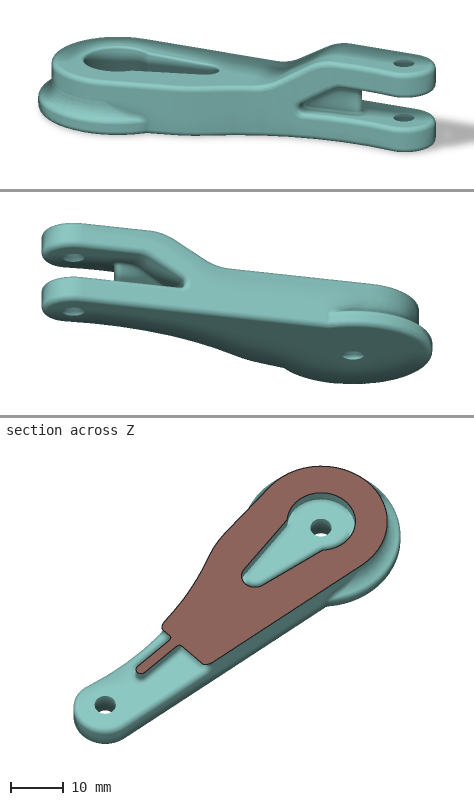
import math

import cadquery as cq

TIP_X = 57.0
HUB_RADIUS = 12.5
TIP_RADIUS = 6.0
HUB_HEIGHT = 10.0
FORK_HEIGHT = 16.0
EDGE_RADIUS = 1.0
PIN_HOLE_RADIUS = 2.0

FLANGE_RADIUS = 15.0
FLANGE_COVE_RADIUS = 3.0
FLANGE_COVE_TOP = 6.0
FLANGE_JOINT_RADIUS = 1.0

WAIST_RADIUS = 55.0
WAIST_CENTER = (43.6, -59.25)
SHOULDER_RADIUS = 20.0
TIP_BLEND_RADIUS = 5.0

RAMP_ANGLE = math.radians(30)
RAMP_TOP_X = 41.6
RAMP_BEND_RADIUS = 10.0

SLOT_BOTTOM = 5.0
SLOT_TOP = 11.0
SLOT_BEND_X = 45.0
SLOT_BEND_RADIUS = 5.0
SLOT_ROOT_RADIUS = 1.0
WEB_HALF_THICKNESS = 1.0
WEB_END_X = 48.6
WEB_FOOT_RADIUS = 0.5

POCKET_FLOOR = 5.0
POCKET_RADIUS = 6.4
POCKET_END_X = 17.5
POCKET_END_RADIUS = 2.5
POCKET_TAPER_ROOT_RADIUS = 5.4
POCKET_NECK_RADIUS = 1.0
POCKET_RIM_RADIUS = 0.5

MARGIN = 10.0
TOLERANCE = 0.05


def inside(low, high):
    """Selector for edges that lie wholly in a box."""
    return cq.selectors.BoxSelector(low, high, boundingbox=True)


def polar(center, radius, angle):
    """Point on a circle."""
    return (center[0] + radius * math.cos(angle), center[1] + radius * math.sin(angle))


def toward(start, end, distance):
    """Point at a distance from start in the direction of end."""
    return polar(start, distance, math.atan2(end[1] - start[1], end[0] - start[0]))


def arc_middle(center, radius, start, end):
    """Middle point of the shorter arc from start to end."""
    chord_middle = ((start[0] + end[0]) / 2, (start[1] + end[1]) / 2)
    return toward(center, chord_middle, radius)


def taper_angle(big_radius, small_radius, distance):
    """Direction, seen from either centre, of the upper tangent point of two circles."""
    return math.acos((big_radius - small_radius) / distance)


def arm_plan():
    """Outline of the arm: hub round, straight +Y side, tip round and waisted -Y side."""
    hub = (0.0, 0.0)
    tip = (TIP_X, 0.0)
    normal = taper_angle(HUB_RADIUS, TIP_RADIUS, TIP_X)
    hub_upper = polar(hub, HUB_RADIUS, normal)
    hub_lower = polar(hub, HUB_RADIUS, -normal)
    tip_upper = polar(tip, TIP_RADIUS, normal)

    blend_offset = TIP_RADIUS - TIP_BLEND_RADIUS
    blend_reach = WAIST_RADIUS + TIP_BLEND_RADIUS
    tip_distance = math.dist(WAIST_CENTER, tip)
    tip_direction = math.atan2(tip[1] - WAIST_CENTER[1], tip[0] - WAIST_CENTER[0])
    swing = math.acos(
        (tip_distance**2 + blend_reach**2 - blend_offset**2) / (2 * tip_distance * blend_reach)
    )
    blend_center = polar(WAIST_CENTER, blend_reach, tip_direction - swing)
    blend_start = toward(tip, blend_center, TIP_RADIUS)
    waist_end = toward(WAIST_CENTER, blend_center, WAIST_RADIUS)

    side = (math.cos(-normal), math.sin(-normal))
    waist_offset = WAIST_CENTER[0] * side[0] + WAIST_CENTER[1] * side[1]
    across = waist_offset - (HUB_RADIUS - SHOULDER_RADIUS)
    along = math.sqrt((WAIST_RADIUS + SHOULDER_RADIUS) ** 2 - across**2)
    shoulder_center = (
        WAIST_CENTER[0] - across * side[0] + along * side[1],
        WAIST_CENTER[1] - across * side[1] - along * side[0],
    )
    shoulder_start = polar(shoulder_center, SHOULDER_RADIUS, -normal)
    waist_start = toward(WAIST_CENTER, shoulder_center, WAIST_RADIUS)

    return (
        cq.Workplane("XY")
        .moveTo(*hub_lower)
        .threePointArc((-HUB_RADIUS, 0), hub_upper)
        .lineTo(*tip_upper)
        .threePointArc((TIP_X + TIP_RADIUS, 0), blend_start)
        .threePointArc(arc_middle(blend_center, TIP_BLEND_RADIUS, blend_start, waist_end), waist_end)
        .threePointArc(arc_middle(WAIST_CENTER, WAIST_RADIUS, waist_end, waist_start), waist_start)
        .threePointArc(
            arc_middle(shoulder_center, SHOULDER_RADIUS, waist_start, shoulder_start), shoulder_start
        )
        .close()
    )


def side_profile():
    """Side shape of the arm, wider than the plan: hub level, ramp and fork level."""
    bend = RAMP_BEND_RADIUS * math.tan(RAMP_ANGLE / 2)
    rise = FORK_HEIGHT - HUB_HEIGHT
    ramp_bottom = (RAMP_TOP_X - rise / math.tan(RAMP_ANGLE), HUB_HEIGHT)
    ramp_top = (RAMP_TOP_X, FORK_HEIGHT)
    low_start = (ramp_bottom[0] - bend, HUB_HEIGHT)
    low_end = polar(ramp_bottom, bend, RAMP_ANGLE)
    high_start = polar(ramp_top, -bend, RAMP_ANGLE)
    high_end = (RAMP_TOP_X + bend, FORK_HEIGHT)
    low_center = (low_start[0], HUB_HEIGHT + RAMP_BEND_RADIUS)
    high_center = (high_end[0], FORK_HEIGHT - RAMP_BEND_RADIUS)
    left = -HUB_RADIUS - MARGIN
    right = TIP_X + TIP_RADIUS + MARGIN
    return (
        cq.Workplane("XZ")
        .moveTo(left, 0)
        .lineTo(left, HUB_HEIGHT)
        .lineTo(*low_start)
        .threePointArc(arc_middle(low_center, RAMP_BEND_RADIUS, low_start, low_end), low_end)
        .lineTo(*high_start)
        .threePointArc(arc_middle(high_center, RAMP_BEND_RADIUS, high_start, high_end), high_end)
        .lineTo(right, FORK_HEIGHT)
        .lineTo(right, 0)
        .close()
        .extrude(HUB_RADIUS + MARGIN, both=True)
    )


def fork_slot():
    """Slot across the whole arm: round root, roof rising with the ramp, level fork gap."""
    half = RAMP_ANGLE / 2
    root_x = SLOT_BEND_X - (SLOT_TOP - SLOT_BOTTOM) / math.tan(RAMP_ANGLE)
    root_reach = SLOT_ROOT_RADIUS / math.tan(half)
    bend = SLOT_BEND_RADIUS * math.tan(half)
    root_center = (root_x + root_reach, SLOT_BOTTOM + SLOT_ROOT_RADIUS)
    root_low = (root_x + root_reach, SLOT_BOTTOM)
    root_high = polar((root_x, SLOT_BOTTOM), root_reach, RAMP_ANGLE)
    root_middle = polar(root_center, -SLOT_ROOT_RADIUS, half)
    bend_start = polar((SLOT_BEND_X, SLOT_TOP), -bend, RAMP_ANGLE)
    bend_end = (SLOT_BEND_X + bend, SLOT_TOP)
    bend_center = (bend_end[0], SLOT_TOP - SLOT_BEND_RADIUS)
    right = TIP_X + TIP_RADIUS + MARGIN
    return (
        cq.Workplane("XZ")
        .moveTo(right, SLOT_BOTTOM)
        .lineTo(*root_low)
        .threePointArc(root_middle, root_high)
        .lineTo(*bend_start)
        .threePointArc(arc_middle(bend_center, SLOT_BEND_RADIUS, bend_start, bend_end), bend_end)
        .lineTo(right, SLOT_TOP)
        .close()
        .extrude(HUB_RADIUS + MARGIN, both=True)
    )


def slot_web():
    """Upright wall with a rounded free end, cut to the height of the slot."""
    end_center_x = WEB_END_X - WEB_HALF_THICKNESS
    start_x = SLOT_BEND_X - (SLOT_TOP - SLOT_BOTTOM) / math.tan(RAMP_ANGLE)
    return (
        cq.Workplane("XY")
        .moveTo(start_x, -WEB_HALF_THICKNESS)
        .lineTo(end_center_x, -WEB_HALF_THICKNESS)
        .threePointArc((WEB_END_X, 0), (end_center_x, WEB_HALF_THICKNESS))
        .lineTo(start_x, WEB_HALF_THICKNESS)
        .close()
        .extrude(FORK_HEIGHT)
        .intersect(fork_slot())
    )


def arm():
    """Arm with its fork slot and rounded edges."""
    body = arm_plan().extrude(FORK_HEIGHT).intersect(side_profile())
    body = body.cut(fork_slot())
    return body.edges("not (|Z or |Y)").fillet(EDGE_RADIUS)


def flange():
    """Round flange whose cove runs up into the hub wall."""
    cove_center = (HUB_RADIUS + FLANGE_COVE_RADIUS, FLANGE_COVE_TOP)
    rim_x = FLANGE_RADIUS - EDGE_RADIUS
    rim_drop = math.sqrt((FLANGE_COVE_RADIUS + EDGE_RADIUS) ** 2 - (cove_center[0] - rim_x) ** 2)
    rim_center = (rim_x, FLANGE_COVE_TOP - rim_drop)
    rim_start = (FLANGE_RADIUS, rim_center[1])
    cove_start = toward(rim_center, cove_center, EDGE_RADIUS)
    cove_end = (HUB_RADIUS, FLANGE_COVE_TOP)
    foot_center = (rim_x, EDGE_RADIUS)
    foot_start = (rim_x, 0)
    foot_end = (FLANGE_RADIUS, EDGE_RADIUS)
    return (
        cq.Workplane("XZ")
        .lineTo(*foot_start)
        .threePointArc(arc_middle(foot_center, EDGE_RADIUS, foot_start, foot_end), foot_end)
        .lineTo(*rim_start)
        .threePointArc(arc_middle(rim_center, EDGE_RADIUS, rim_start, cove_start), cove_start)
        .threePointArc(arc_middle(cove_center, FLANGE_COVE_RADIUS, cove_start, cove_end), cove_end)
        .lineTo(0, FLANGE_COVE_TOP)
        .close()
        .revolve(360, (0, 0, 0), (0, 1, 0))
    )


def pocket():
    """Keyhole pocket: round around the hub axis with a tapered, round-ended tail."""
    normal = taper_angle(POCKET_TAPER_ROOT_RADIUS, POCKET_END_RADIUS, POCKET_END_X)
    end = (POCKET_END_X, 0)
    tail_upper = polar(end, POCKET_END_RADIUS, normal)
    tail_lower = polar(end, POCKET_END_RADIUS, -normal)
    depth = HUB_HEIGHT - POCKET_FLOOR
    tail = (
        cq.Workplane("XY", origin=(0, 0, POCKET_FLOOR))
        .lineTo(*polar((0, 0), POCKET_TAPER_ROOT_RADIUS, normal))
        .lineTo(*tail_upper)
        .threePointArc((POCKET_END_X + POCKET_END_RADIUS, 0), tail_lower)
        .lineTo(*polar((0, 0), POCKET_TAPER_ROOT_RADIUS, -normal))
        .close()
        .extrude(depth)
    )
    bowl = cq.Workplane("XY", origin=(0, 0, POCKET_FLOOR)).circle(POCKET_RADIUS).extrude(depth)
    neck = inside((0, -POCKET_RADIUS, 0), (POCKET_RADIUS, POCKET_RADIUS, FORK_HEIGHT))
    return bowl.union(tail).edges("|Z").edges(neck).fillet(POCKET_NECK_RADIUS)


def pin_holes():
    """Through holes on the hub axis and at the fork tip."""
    return (
        cq.Workplane("XY").pushPoints([(0, 0), (TIP_X, 0)]).circle(PIN_HOLE_RADIUS).extrude(FORK_HEIGHT)
    )


def add_flange(body):
    """Join the flange to the arm and round the corners between its rim and the arm sides."""
    body = body.union(flange())
    for side in (-1, 1):
        near = side * TIP_RADIUS
        far = side * FLANGE_RADIUS
        low = (0, min(near, far), 0)
        high = (HUB_RADIUS, max(near, far), FLANGE_COVE_TOP + TOLERANCE)
        body = body.edges(inside(low, high)).fillet(FLANGE_JOINT_RADIUS)
    return body


def add_web(body):
    """Stand the web in the fork slot and round its joints with the slot walls."""
    half = WEB_HALF_THICKNESS + TOLERANCE
    low = (0, -half, SLOT_BOTTOM - TOLERANCE)
    high = (WEB_END_X + TOLERANCE, half, SLOT_TOP + TOLERANCE)
    return body.union(slot_web()).edges(inside(low, high)).edges("not |Z").fillet(WEB_FOOT_RADIUS)


def cut_pocket(body):
    """Sink the keyhole pocket into the hub and round its rim."""
    reach = POCKET_RADIUS + TOLERANCE
    low = (-reach, -reach, HUB_HEIGHT - TOLERANCE)
    high = (POCKET_END_X + POCKET_END_RADIUS + TOLERANCE, reach, HUB_HEIGHT + TOLERANCE)
    return body.cut(pocket()).edges(inside(low, high)).fillet(POCKET_RIM_RADIUS)


result = add_flange(arm())
result = add_web(result)
result = cut_pocket(result)
result = result.cut(pin_holes())